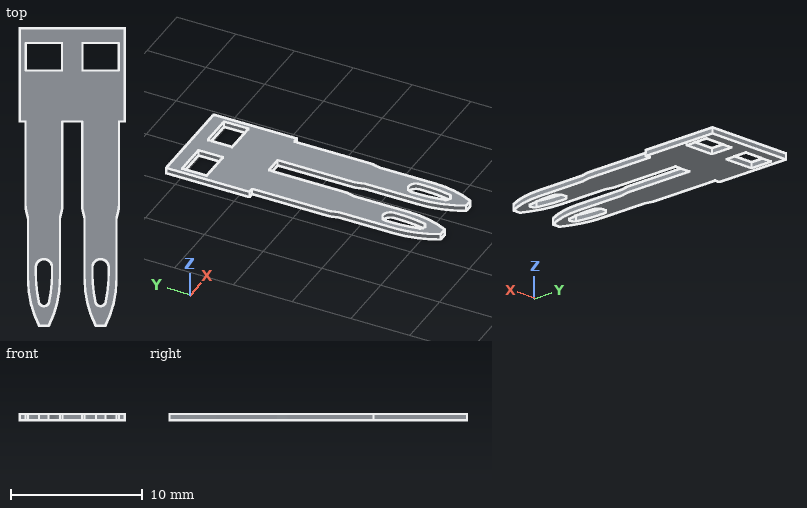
import cadquery as cq
import math

length = 22.6
head_width = 8.0
thickness = 0.5
head_bottom = 15.5

prong_pitch = 4.3
prong_x = prong_pitch / 2
shank_half_width = 1.4
blade_half_width = 1.22
taper_top = 8.93
taper_round_radius = 1.13
corner_search = 0.11
taper_bottom = 8.18
tip_curve_top = 3.55
tip_half_width = 0.36

eye_radius = 0.6
eye_top = 5.06
eye_curve_top = 4.02
eye_curve_bottom = 1.75
eye_bottom = 1.51
eye_bottom_half_width = 0.36

window_width = 2.73
window_top = 21.47
window_height = 2.08


def tangent_arc_middle(start_x, start_y, end_x, end_y):
    """Middle point of an arc that leaves its start along -Y and curves towards X = 0."""
    inset = start_x - end_x
    drop = start_y - end_y
    radius = (inset**2 + drop**2) / (2 * inset)
    half_angle = math.asin(drop / radius) / 2
    middle_x = start_x - radius * (1 - math.cos(half_angle))
    middle_y = start_y - radius * math.sin(half_angle)
    return middle_x, middle_y


def make_head():
    return cq.Workplane("XY").rect(head_width, length - head_bottom).extrude(thickness).translate(
        (0, (length + head_bottom) / 2, 0)
    )


def make_prong():
    """Right prong with its axis on X = 0, with rounded corners where the shank starts to taper."""
    bend_x, bend_y = tangent_arc_middle(blade_half_width, tip_curve_top, tip_half_width, 0)
    prong = (
        cq.Workplane("XY")
        .moveTo(-shank_half_width, head_bottom)
        .lineTo(shank_half_width, head_bottom)
        .lineTo(shank_half_width, taper_top)
        .lineTo(blade_half_width, taper_bottom)
        .lineTo(blade_half_width, tip_curve_top)
        .threePointArc((bend_x, bend_y), (tip_half_width, 0))
        .lineTo(-tip_half_width, 0)
        .threePointArc((-bend_x, bend_y), (-blade_half_width, tip_curve_top))
        .lineTo(-blade_half_width, taper_bottom)
        .lineTo(-shank_half_width, taper_top)
        .close()
        .extrude(thickness)
    )
    taper_corners = cq.selectors.BoxSelector(
        (-head_width, taper_top - corner_search, -thickness),
        (head_width, taper_top + corner_search, 2 * thickness),
    )
    return prong.edges("|Z").edges(taper_corners).fillet(taper_round_radius)


def make_eye():
    round_end_y = eye_top - eye_radius
    bend_x, bend_y = tangent_arc_middle(
        eye_radius, eye_curve_top, eye_bottom_half_width, eye_curve_bottom
    )
    return (
        cq.Workplane("XY")
        .moveTo(-eye_radius, round_end_y)
        .threePointArc((0, eye_top), (eye_radius, round_end_y))
        .lineTo(eye_radius, eye_curve_top)
        .threePointArc((bend_x, bend_y), (eye_bottom_half_width, eye_curve_bottom))
        .threePointArc((0, eye_bottom), (-eye_bottom_half_width, eye_curve_bottom))
        .threePointArc((-bend_x, bend_y), (-eye_radius, eye_curve_top))
        .close()
        .extrude(thickness)
    )


def make_window():
    return cq.Workplane("XY").rect(window_width, window_height).extrude(thickness).translate(
        (0, window_top - window_height / 2, 0)
    )


right_prong = make_prong().cut(make_eye()).translate((prong_x, 0, 0))
right_window = make_window().translate((prong_x, 0, 0))

result = (
    make_head()
    .union(right_prong)
    .union(right_prong.mirror("YZ"))
    .cut(right_window)
    .cut(right_window.mirror("YZ"))
)